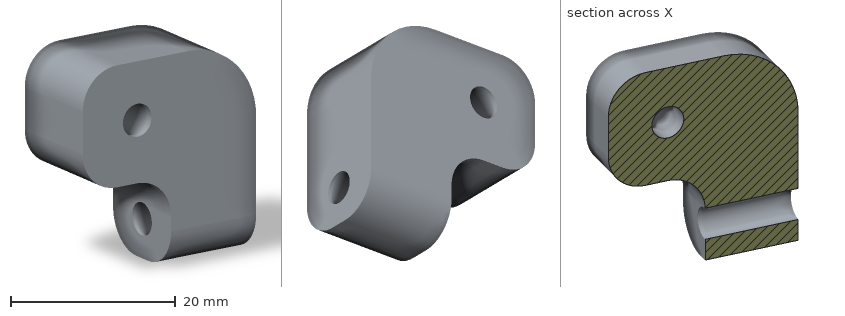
import cadquery as cq

width = 12.5
depth = 25.5
height = 27.5
leg_thickness = 12.5
arm_height = 15.5
corner_radius = 5.0
back_radius = 2 * corner_radius
hole_diameter = 4.2
arm_hole_y = 8.0
arm_hole_drop = 7.5
leg_hole_z = corner_radius

leg_front = depth - leg_thickness
arm_bottom = height - arm_height


def l_block():
    """L-shaped side profile extruded across the width, centred on X = 0."""
    return (
        cq.Workplane("YZ")
        .moveTo(0, height)
        .lineTo(depth, height)
        .lineTo(depth, 0)
        .lineTo(leg_front, 0)
        .lineTo(leg_front, arm_bottom)
        .lineTo(0, arm_bottom)
        .close()
        .extrude(width / 2, both=True)
    )


def round_profile(body):
    """Round the arm tip, the inner corner and the large back corner."""
    body = body.edges("|X and <Y").fillet(corner_radius)
    inner_corner = cq.selectors.NearestToPointSelector((0, leg_front, arm_bottom))
    body = body.edges(inner_corner).fillet(corner_radius)
    back_corner = cq.selectors.NearestToPointSelector((0, depth, height))
    return body.edges(back_corner).fillet(back_radius)


def cross_hole():
    """Hole through the arm along X."""
    return (
        cq.Workplane("YZ")
        .center(arm_hole_y, height - arm_hole_drop)
        .circle(hole_diameter / 2)
        .extrude(width, both=True)
    )


def leg_hole():
    """Hole through the leg along Y."""
    return (
        cq.Workplane("XZ")
        .center(0, leg_hole_z)
        .circle(hole_diameter / 2)
        .extrude(-depth)
    )


body = round_profile(l_block())
body = body.edges("|Y and <Z").fillet(corner_radius)
result = body.cut(cross_hole()).cut(leg_hole())